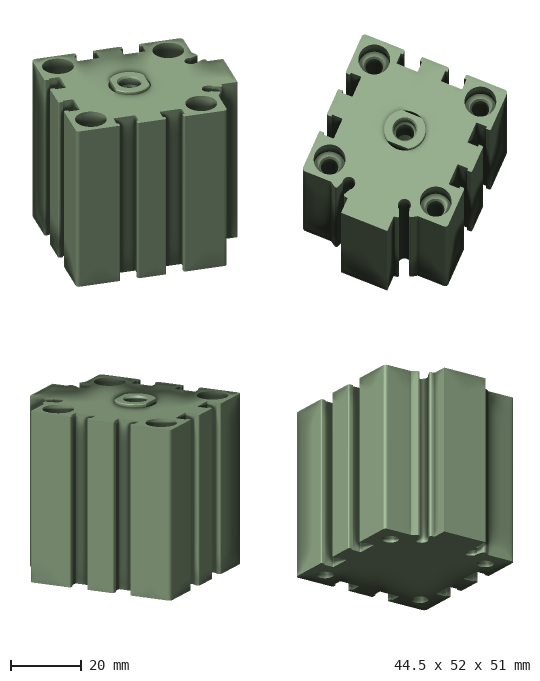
import cadquery as cq
import math

width = 44.5
half_width = width / 2
height = 50.0
corner_radius = 1.0

slot_offset = 6.8
slot_mouth = 5.15
slot_inner = 6.5
slot_depth = 4.65
slot_lip = 1.4
lip_radius = 0.4
slot_floor_radius = 0.25

tab_end = 52.0 - half_width
tab_half_width = 7.05
tab_root = 25.0

groove_x = 8.55
groove_y = 20.65
groove_radius = 1.8
inner_lip_crest = (8.1, 24.85)
inner_lip_tip = (8.4, 24.6)
inner_lip_end = 24.25
inner_neck = (7.5, 22.3)
inner_step = (7.05, 22.0)
outer_neck = (10.2, 21.05)
outer_lip = (10.95, 23.1)
outer_lip_crest = (11.25, 23.35)
outer_lip_back = (11.7, 23.3)
outer_lip_foot_x = 13.3
bore_start_angle = 155
bore_end_angle = 8

mount_offset = 16.3
mount_diameter = 4.95
mount_chamfer_diameter = 6.0
mount_bore_diameter = 9.0
mount_bore_depth = 6.0

rod_diameter = 12.0
rod_projection = 1.0
rod_embedded = 15.6
rod_chamfer = 0.2
flat_length = 5.0
flat_width = 10.0

rod_entry_diameter = 6.4
rod_rim_diameter = 7.2
rod_rim_depth = 0.55
rod_entry_depth = 2.65
rod_hole_diameter = 5.2
rod_hole_depth = 11.95
drill_half_angle = 59


def bore_point(angle):
    """Point on the round bore of the +X sensor groove."""
    a = math.radians(angle)
    return (groove_x + groove_radius * math.cos(a), groove_y + groove_radius * math.sin(a))


def make_blank():
    """Square block with rounded vertical corners."""
    block = cq.Workplane("XY").rect(width, width).extrude(height)
    return block.edges("|Z").fillet(corner_radius)


def make_tab():
    """Tab on the +Y face, with an overhanging lip on each side of its root."""
    root = half_width - slot_depth
    half_outline = (
        cq.Workplane("XY")
        .moveTo(0, tab_end)
        .lineTo(tab_half_width, tab_end)
        .lineTo(tab_half_width, tab_root)
        .lineTo(*inner_lip_crest)
        .lineTo(*inner_lip_tip)
        .lineTo(inner_lip_tip[0], root)
        .lineTo(0, root)
        .close()
    )
    half_tab = half_outline.extrude(height)
    return half_tab.union(half_tab.mirror("YZ"))


def make_outer_lip():
    """Raised lip on the outer side of the +X sensor groove."""
    return (
        cq.Workplane("XY")
        .moveTo(*outer_neck)
        .lineTo(*outer_lip)
        .lineTo(*outer_lip_crest)
        .lineTo(*outer_lip_back)
        .lineTo(outer_lip_foot_x, half_width)
        .lineTo(outer_lip_foot_x, outer_neck[1])
        .close()
        .extrude(height)
    )


def make_sensor_groove():
    """Cutter for the +X sensor groove: a round bore with a slanted neck."""
    return (
        cq.Workplane("XY")
        .moveTo(inner_lip_tip[0], tab_end)
        .lineTo(inner_lip_tip[0], inner_lip_end)
        .lineTo(*inner_neck)
        .lineTo(*inner_step)
        .lineTo(*bore_point(bore_start_angle))
        .threePointArc(bore_point(-90), bore_point(bore_end_angle))
        .lineTo(*outer_neck)
        .lineTo(*outer_lip)
        .lineTo(outer_lip[0], tab_end)
        .close()
        .extrude(height)
    )


def make_t_slot(offset):
    """Cutter for one T-slot in the -Y face, flared at the rounded mouth edges."""
    face = -half_width
    half_mouth = slot_mouth / 2
    half_inner = slot_inner / 2
    flare = half_mouth + lip_radius
    bulge = lip_radius * (1 - math.sqrt(0.5))
    slot = (
        cq.Workplane("XY")
        .moveTo(-flare, face)
        .threePointArc((-half_mouth - bulge, face + bulge), (-half_mouth, face + lip_radius))
        .lineTo(-half_mouth, face + slot_lip)
        .lineTo(-half_inner, face + slot_lip)
        .lineTo(-half_inner, face + slot_depth)
        .lineTo(half_inner, face + slot_depth)
        .lineTo(half_inner, face + slot_lip)
        .lineTo(half_mouth, face + slot_lip)
        .lineTo(half_mouth, face + lip_radius)
        .threePointArc((half_mouth + bulge, face + bulge), (flare, face))
        .close()
        .extrude(height)
    )
    slot = slot.faces(">Y").edges("|Z").fillet(slot_floor_radius)
    return slot.translate((offset, 0, 0))


def make_mount_hole():
    """Cutter for one corner hole: counterbore, chamfer and through hole."""
    seat = height - mount_bore_depth
    chamfer = (mount_chamfer_diameter - mount_diameter) / 2
    return (
        cq.Workplane("XZ")
        .moveTo(0, 0)
        .lineTo(mount_diameter / 2, 0)
        .lineTo(mount_diameter / 2, seat - chamfer)
        .lineTo(mount_chamfer_diameter / 2, seat)
        .lineTo(mount_bore_diameter / 2, seat)
        .lineTo(mount_bore_diameter / 2, height)
        .lineTo(0, height)
        .close()
        .revolve(360, (0, 0, 0), (0, 1, 0))
    )


def make_housing():
    body = make_blank().union(make_tab())
    outer_lip_solid = make_outer_lip()
    groove = make_sensor_groove()
    body = body.union(outer_lip_solid).union(outer_lip_solid.mirror("YZ"))
    body = body.cut(groove).cut(groove.mirror("YZ"))
    for face_angle in (-90, 0, 90):
        for offset in (-slot_offset, slot_offset):
            slot = make_t_slot(offset)
            body = body.cut(slot.rotate((0, 0, 0), (0, 0, 1), face_angle))
    for x in (-mount_offset, mount_offset):
        for y in (-mount_offset, mount_offset):
            body = body.cut(make_mount_hole().translate((x, y, 0)))
    rod_seat = cq.Workplane("XY").workplane(offset=height - rod_embedded).circle(rod_diameter / 2)
    return body.cut(rod_seat.extrude(rod_embedded))


def make_rod_hole():
    """Cutter for the stepped, drill-pointed hole in the rod end."""
    top = height + rod_projection
    entry_radius = rod_entry_diameter / 2
    hole_radius = rod_hole_diameter / 2
    entry_floor = top - rod_entry_depth
    hole_floor = top - rod_hole_depth
    return (
        cq.Workplane("XZ")
        .moveTo(0, top)
        .lineTo(rod_rim_diameter / 2, top)
        .lineTo(entry_radius, top - rod_rim_depth)
        .lineTo(entry_radius, entry_floor)
        .lineTo(hole_radius, entry_floor - (entry_radius - hole_radius))
        .lineTo(hole_radius, hole_floor)
        .lineTo(0, hole_floor - hole_radius / math.tan(math.radians(drill_half_angle)))
        .close()
        .revolve(360, (0, 0, 0), (0, 1, 0))
    )


def make_rod():
    """Round rod with two wrench flats that run down into the housing bore."""
    rod = (
        cq.Workplane("XY")
        .workplane(offset=height - rod_embedded)
        .circle(rod_diameter / 2)
        .extrude(rod_embedded + rod_projection)
        .faces(">Z")
        .chamfer(rod_chamfer)
    )
    flat_cut = (
        cq.Workplane("XY")
        .workplane(offset=height + rod_projection - flat_length)
        .rect(2 * rod_diameter, 2 * rod_diameter)
        .rect(2 * rod_diameter, flat_width)
        .extrude(flat_length)
    )
    return rod.cut(flat_cut).cut(make_rod_hole())


housing = make_housing()
rod = make_rod()
result = cq.Compound.makeCompound([housing.val(), rod.val()])